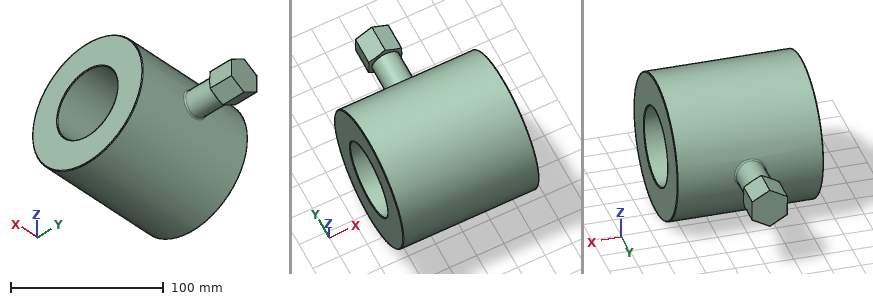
import cadquery as cq
import math

total_depth = 144.0
barrel_diameter = 100.0
barrel_length = barrel_diameter
bore_diameter = 54.5
barrel_chamfer = 0.6
neck_diameter = 20.0
neck_root_fillet = 1.0
hex_across_flats = 24.0
hex_length = 20.0
hex_cone_height = 0.9
hex_face_diameter = 21.0

barrel_radius = barrel_diameter / 2
hex_outer_end = total_depth - barrel_radius
hex_inner_end = hex_outer_end - hex_length
hex_across_corners = hex_across_flats / math.cos(math.pi / 6)


def make_barrel():
    """Solid cylinder along X, centred on the origin."""
    return cq.Workplane("YZ").circle(barrel_radius).extrude(barrel_length / 2, both=True)


def make_neck():
    """Round stem along +Y, starting at the barrel axis."""
    return cq.Workplane("XZ").circle(neck_diameter / 2).extrude(-hex_inner_end)


def make_hex():
    """Hexagon with corners at +Z and -Z and a conical face towards the barrel."""
    prism = (
        cq.Workplane("XZ", origin=(0, hex_inner_end, 0))
        .transformed(rotate=(0, 0, 90))
        .polygon(6, hex_across_corners)
        .extrude(-hex_length)
    )
    corner_radius = hex_across_corners / 2
    envelope = (
        cq.Workplane("XY")
        .moveTo(0, hex_inner_end)
        .lineTo(hex_face_diameter / 2, hex_inner_end)
        .lineTo(corner_radius, hex_inner_end + hex_cone_height)
        .lineTo(corner_radius, hex_outer_end)
        .lineTo(0, hex_outer_end)
        .close()
        .revolve(360, (0, 0, 0), (0, 1, 0))
    )
    return prism.intersect(envelope)


neck_root = cq.selectors.BoxSelector(
    (-neck_diameter, barrel_radius - neck_diameter / 4, -neck_diameter),
    (neck_diameter, barrel_radius + neck_root_fillet, neck_diameter),
    boundingbox=True,
)
body = make_barrel().union(make_neck())
body = body.edges(neck_root).fillet(neck_root_fillet)

bore = cq.Workplane("YZ").circle(bore_diameter / 2).extrude(barrel_length / 2, both=True)
body = body.cut(bore)
body = body.faces("<X or >X").edges().chamfer(barrel_chamfer)

result = body.union(make_hex())